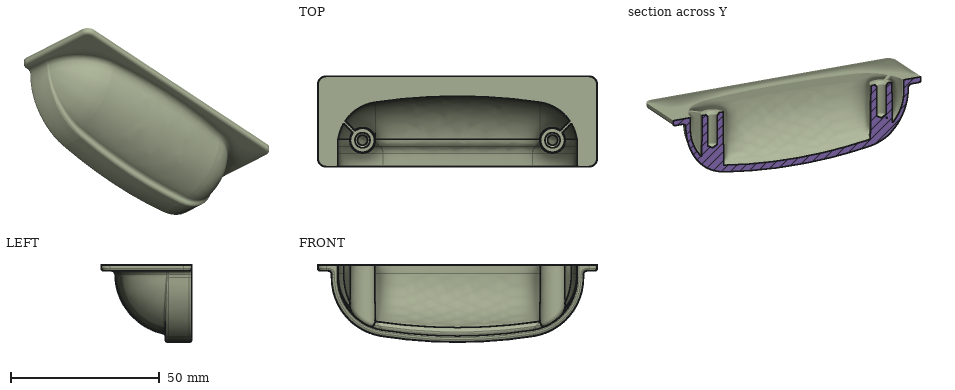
import cadquery as cq
import math

plate_length = 94.0
plate_width = 30.5
plate_thickness = 2.1
plate_corner_radius = 2.8

wall = 2.1
half_width = 42.4
edge_radius = 0.9
plate_blend_radius = 1.1
mouth_radius = 0.5
ledge_blend_radius = 0.7
selection_margin = 0.1

rim_length = 8.9
rim_depth = 26.0
rim_crown_radius = 163.6
rim_corner_radius = 20.0

bowl_axis_y = 5.0
bowl_axis_depth = 2.8
bowl_reach = 20.9
bowl_crown_radius = 190.1
bowl_corner_radius = 17.7
bowl_inner_corner_radius = 14.85

step_start_y = 4.6
lip_y = 9.3
lip_corner_radius = 15.0
sections_per_half = 4

boss_spacing = 63.9
boss_y = 8.9
boss_top_radius = 4.0
boss_draft = 0.8
screw_hole_radius = 1.7
screw_hole_depth = 11.3
drill_point_depth = 0.9
countersink_radius = 2.5
countersink_depth = 0.9
web_thickness = 1.0
web_length = 13.2
web_angle = 45.0


def arch(plane, width, depth, crown, corner):
    """U-shaped outline of half width `width`: straight sides, rounded corners and a flat arc as its crown.

    The outline starts on the local X axis and grows along local +Y to `depth`.
    """
    crown_center = depth - crown
    corner_x = width - corner
    corner_y = crown_center + math.sqrt((crown - corner) ** 2 - corner_x**2)
    crown_angle = math.asin(corner_x / (crown - corner))
    joint_x = crown * math.sin(crown_angle)
    joint_y = crown_center + crown * math.cos(crown_angle)
    middle_angle = (math.pi / 2 - crown_angle) / 2
    middle_x = corner_x + corner * math.cos(middle_angle)
    middle_y = corner_y + corner * math.sin(middle_angle)
    return (
        cq.Workplane(plane)
        .moveTo(-width, 0)
        .lineTo(-width, corner_y)
        .threePointArc((-middle_x, middle_y), (-joint_x, joint_y))
        .threePointArc((0, depth), (joint_x, joint_y))
        .threePointArc((middle_x, middle_y), (width, corner_y))
        .lineTo(width, 0)
        .close()
    )


def front_plane(y):
    """Plane across the part at `y`, with local +Y pointing down and its normal toward +Y."""
    return cq.Plane(origin=(0, y, 0), xDir=(1, 0, 0), normal=(0, 1, 0))


def rim_prism(length, inset):
    return arch(
        front_plane(0), half_width - inset, rim_depth - inset, rim_crown_radius - inset, rim_corner_radius - inset
    ).extrude(length)


def bowl(inset, corner_radius):
    """Quarter turn of the bowl outline, carried straight up to the top of the plate."""
    plane = cq.Plane(origin=(0, bowl_axis_y, -bowl_axis_depth), xDir=(1, 0, 0), normal=(0, 0, 1))
    sizes = (half_width - inset, bowl_reach - inset, bowl_crown_radius - inset, corner_radius)
    collar = arch(plane, *sizes).extrude(bowl_axis_depth)
    return arch(plane, *sizes).revolve(90, (0, 0), (-1, 0)).union(collar)


def step_section(t):
    """Outline of the inner step at the fraction `t` of its length, from the rim cavity to the bowl lip."""
    bowl_inner_reach = bowl_reach - wall
    lip_depth = bowl_axis_depth + math.sqrt(bowl_inner_reach**2 - (lip_y - bowl_axis_y) ** 2)
    rim_sizes = (rim_depth - wall, rim_crown_radius - wall, rim_corner_radius - wall)
    lip_sizes = (lip_depth, bowl_crown_radius - wall, lip_corner_radius)

    half_run = (lip_y - step_start_y) / 2
    half_rise = (rim_depth - wall - lip_depth) / 2
    arc_radius = (half_run**2 + half_rise**2) / (2 * half_rise)
    from_nearer_end = 2 * half_run * min(t, 1 - t)
    near_rise = arc_radius - math.sqrt(arc_radius**2 - from_nearer_end**2)
    blend = near_rise / (2 * half_rise)
    if t > 0.5:
        blend = 1 - blend

    sizes = [rim + blend * (lip - rim) for rim, lip in zip(rim_sizes, lip_sizes)]
    y = step_start_y + t * (lip_y - step_start_y)
    return arch(front_plane(y), half_width - wall, *sizes).val()


def step_half(start):
    """Half of the inner step, beginning at the fraction `start` of its length."""
    spacing = 0.5 / (sections_per_half - 1)
    sections = [step_section(start + i * spacing) for i in range(sections_per_half)]
    return cq.Workplane(cq.Solid.makeLoft(sections))


def outer_body():
    plate = (
        cq.Workplane("XY")
        .rect(plate_length, plate_width)
        .extrude(-plate_thickness)
        .translate((0, plate_width / 2, 0))
        .edges("|Z")
        .fillet(plate_corner_radius)
    )
    rim = rim_prism(rim_length, 0).faces(">Y").edges("not(>Z)").fillet(edge_radius)
    return plate.union(rim).union(bowl(0, bowl_corner_radius))


def blend_ledge(body):
    """Concave fillet where the bowl meets the back of the rim."""
    ledge_edges = cq.selectors.BoxSelector(
        (-half_width, rim_length - selection_margin, -rim_depth),
        (half_width, rim_length + selection_margin, -bowl_axis_depth),
        boundingbox=True,
    )
    return body.edges(ledge_edges).fillet(ledge_blend_radius)


def blend_under_plate(body):
    """Concave fillet where the shell leaves the underside of the plate."""
    shell_edges = cq.selectors.BoxSelector(
        (-half_width - selection_margin, -selection_margin, -plate_thickness - selection_margin),
        (half_width + selection_margin, plate_width - selection_margin, -plate_thickness + selection_margin),
        boundingbox=True,
    )
    return body.edges(shell_edges).fillet(plate_blend_radius)


def round_outer_edges(body):
    """Rounds the front edge of the rim and, tangent to it, the lower edge of the plate all the way round."""
    return body.faces("<Y").edges("not(>Z)").edges("not(|Z)").fillet(edge_radius)


def cavity():
    rim_cavity = rim_prism(step_start_y, wall)
    behind_lip = cq.Workplane("XY").box(plate_length, plate_width, plate_length, centered=(True, False, True))
    bowl_cavity = bowl(wall, bowl_inner_corner_radius).intersect(behind_lip.translate((0, lip_y, 0)))
    return rim_cavity.union(step_half(0)).union(step_half(0.5)).union(bowl_cavity)


def round_mouth(shell):
    """Small round on the inner edge of the rim's front face."""
    inside = half_width - wall / 2
    mouth_edges = cq.selectors.BoxSelector(
        (-inside, -selection_margin, -rim_depth + wall / 2),
        (inside, selection_margin, selection_margin),
        boundingbox=True,
    )
    return shell.edges(mouth_edges).fillet(mouth_radius)


def boss(side):
    """Drafted screw boss, wider toward the shell, with its web; longer than needed, to be trimmed."""
    post = cq.Workplane("XY").circle(boss_top_radius).extrude(-rim_depth, taper=-boss_draft)
    web_direction = web_angle if side > 0 else 180 - web_angle
    web = (
        cq.Workplane("XY")
        .box(web_length, web_thickness, rim_depth, centered=(False, True, False))
        .translate((0, 0, -rim_depth))
        .rotate((0, 0, 0), (0, 0, 1), web_direction)
    )
    return post.union(web).translate((side * boss_spacing / 2, boss_y, 0))


def screw_hole(side):
    """Blind hole with a conical bottom and a countersunk mouth."""
    return (
        cq.Workplane("XZ")
        .polyline(
            [
                (0, 0),
                (countersink_radius, 0),
                (screw_hole_radius, -countersink_depth),
                (screw_hole_radius, -screw_hole_depth),
                (0, -screw_hole_depth - drill_point_depth),
            ]
        )
        .close()
        .revolve(360, (0, 0), (0, 1))
        .translate((side * boss_spacing / 2, boss_y, 0))
    )


outer = round_outer_edges(blend_under_plate(blend_ledge(outer_body())))
result = round_mouth(outer.cut(cavity()))
for side in (-1, 1):
    result = result.union(boss(side).intersect(outer)).cut(screw_hole(side))